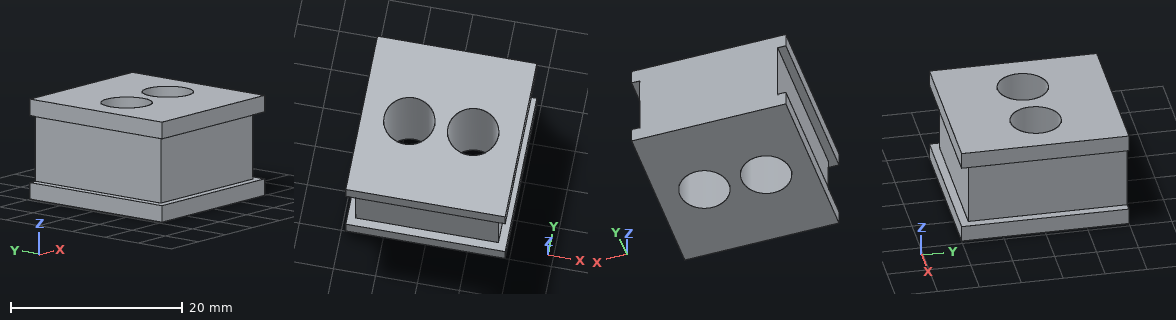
import cadquery as cq

width = 19.0
depth = 20.0
height = 12.0

flange_thickness = 2.0
flange_overhang = 1.0

hole_diameter = 6.0
hole_spacing = 7.6

core_width = width - 2 * flange_overhang
core_depth = depth - flange_overhang
core_height = height - 2 * flange_thickness


def plate(bottom):
    """Full-size flange plate with its underside at the given height."""
    return (
        cq.Workplane("XY")
        .workplane(offset=bottom)
        .rect(width, depth)
        .extrude(flange_thickness)
    )


core = (
    cq.Workplane("XY")
    .workplane(offset=flange_thickness)
    .center(0, flange_overhang / 2)
    .rect(core_width, core_depth)
    .extrude(core_height)
)

holes = (
    cq.Workplane("XY")
    .pushPoints([(-hole_spacing / 2, 0), (hole_spacing / 2, 0)])
    .circle(hole_diameter / 2)
    .extrude(height)
)

body = core.union(plate(0)).union(plate(height - flange_thickness))
result = body.cut(holes)